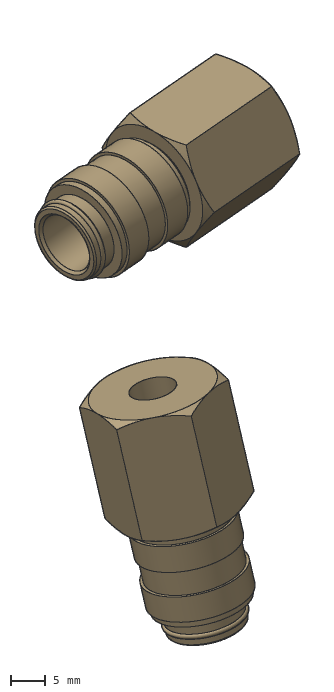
import cadquery as cq
import math

length = 39.0
hex_flats = 19.0
hex_start = 19.1
hex_chamfer_angle = 30.0

neck_radius = 6.95
neck_start = 18.5
sleeve_radius = 7.6
sleeve_start = 4.0
band_radius = 8.07
bands = [(5.07, 9.2), (13.22, 17.47)]

nose_radius = 6.05
nose_chamfer = 0.27
rim_radius = 6.45
rim_start = 1.2
rim_end = 2.0

through_radius = 3.5
socket_radius = 4.55
socket_depth = 11.7
socket_chamfer = 0.43


def cylinder(radius, start, end):
    """Solid cylinder on the Y axis between two stations."""
    disc = cq.Workplane("XZ", origin=(0, start, 0)).circle(radius)
    return disc.extrude(start - end)


def revolve_profile(points):
    """Revolve an outline of (radius, y) points about the Y axis."""
    outline = cq.Workplane("XY").polyline(points).close()
    return outline.revolve(360, (0, 0, 0), (0, 1, 0))


def chamfered_hexagon():
    """Hexagon with corners along X, coned at both ends down to the flats."""
    flat_radius = hex_flats / 2
    corner_radius = flat_radius / math.cos(math.radians(30))
    cone_length = (corner_radius - flat_radius) * math.tan(math.radians(hex_chamfer_angle))
    prism = (
        cq.Workplane("XZ", origin=(0, hex_start, 0))
        .polygon(6, 2 * corner_radius)
        .extrude(hex_start - length)
    )
    envelope = revolve_profile([
        (0, hex_start),
        (flat_radius, hex_start),
        (corner_radius, hex_start + cone_length),
        (corner_radius, length - cone_length),
        (flat_radius, length),
        (0, length),
    ])
    return prism.intersect(envelope)


def nose():
    """Stepped nose with a rounded retaining rim and a chamfered tip."""
    rim_middle = (rim_start + rim_end) / 2
    rim_bow = (rim_end - rim_start) / 2 * math.cos(math.radians(45))
    rim_shoulder = nose_radius + (rim_radius - nose_radius) * math.sin(math.radians(45))
    outline = (
        cq.Workplane("XY")
        .moveTo(0, 0)
        .lineTo(nose_radius - nose_chamfer, 0)
        .lineTo(nose_radius, nose_chamfer)
        .lineTo(nose_radius, rim_start)
        .threePointArc((rim_shoulder, rim_middle - rim_bow), (rim_radius, rim_middle))
        .threePointArc((rim_shoulder, rim_middle + rim_bow), (nose_radius, rim_end))
        .lineTo(nose_radius, sleeve_start)
        .lineTo(0, sleeve_start)
        .close()
    )
    return outline.revolve(360, (0, 0, 0), (0, 1, 0))


def bore():
    """Through bore with a wider, chamfered socket at the nose."""
    socket = revolve_profile([
        (0, 0),
        (socket_radius + socket_chamfer, 0),
        (socket_radius, socket_chamfer),
        (socket_radius, socket_depth),
        (0, socket_depth),
    ])
    return cylinder(through_radius, 0, length).union(socket)


body = chamfered_hexagon().union(nose())
body = body.union(cylinder(sleeve_radius, sleeve_start, neck_start))
body = body.union(cylinder(neck_radius, neck_start, hex_start))
for band_start, band_end in bands:
    body = body.union(cylinder(band_radius, band_start, band_end))

result = body.cut(bore())